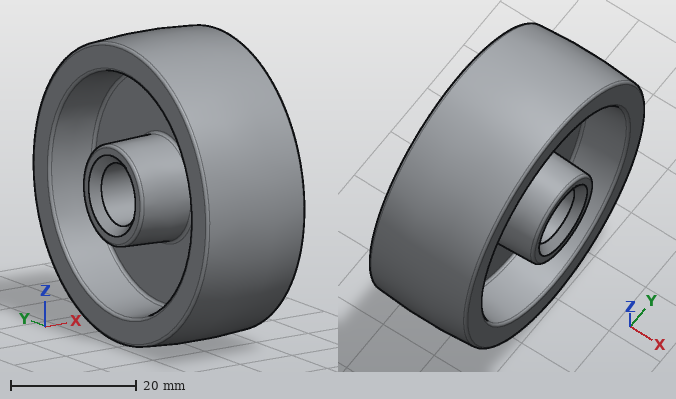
import cadquery as cq

wheel_radius = 25.05
rim_width = 19.05
rim_edge_radius = 24.55
hub_length = 22.0
web_thickness = 2.5
edge_round = 0.5

pocket_mouth_radius = 19.95
pocket_floor_radius = 19.4
hub_end_radius = 8.25
hub_root_radius = 8.65

bore_radius = 5.1
bore_chamfer = 1.45

half_rim = rim_width / 2
half_hub = hub_length / 2
half_web = web_thickness / 2


def revolve_about_x(profile):
    return profile.revolve(360, (0, 0, 0), (1, 0, 0))


def crowned_blank():
    """Solid disc with an arched tread and rounded rim edges."""
    profile = (
        cq.Workplane("XY")
        .moveTo(-half_rim, 0)
        .lineTo(-half_rim, rim_edge_radius)
        .threePointArc((0, wheel_radius), (half_rim, rim_edge_radius))
        .lineTo(half_rim, 0)
        .close()
    )
    return revolve_about_x(profile).edges("<X or >X").fillet(edge_round)


def side_pocket(side):
    """Tapered recess from one rim face down to the web."""
    profile = (
        cq.Workplane("XY")
        .moveTo(side * half_web, 0)
        .lineTo(side * half_web, pocket_floor_radius)
        .lineTo(side * half_rim, pocket_mouth_radius)
        .lineTo(side * half_rim, 0)
        .close()
    )
    return revolve_about_x(profile)


def tapered_hub(side):
    """Half of the hub, narrowing from the web to its end face."""
    profile = (
        cq.Workplane("XY")
        .lineTo(0, hub_root_radius)
        .lineTo(side * half_web, hub_root_radius)
        .lineTo(side * half_hub, hub_end_radius)
        .lineTo(side * half_hub, 0)
        .close()
    )
    return revolve_about_x(profile)


def circle_at(x, radius):
    """Selector for the circular edge crossing the XY plane at (x, radius)."""
    tolerance = 0.05
    return cq.selectors.BoxSelector(
        (x - tolerance, -radius - tolerance, -radius - tolerance),
        (x + tolerance, radius + tolerance, radius + tolerance),
        boundingbox=True,
    ) - cq.selectors.BoxSelector(
        (x - tolerance, -radius + tolerance, -radius + tolerance),
        (x + tolerance, radius - tolerance, radius - tolerance),
        boundingbox=True,
    )


wheel = crowned_blank()
for side in (-1, 1):
    wheel = wheel.cut(side_pocket(side))
for side in (-1, 1):
    wheel = wheel.union(tapered_hub(side))

for side in (-1, 1):
    for x, radius in (
        (half_rim, pocket_mouth_radius),
        (half_web, pocket_floor_radius),
        (half_web, hub_root_radius),
        (half_hub, hub_end_radius),
    ):
        wheel = wheel.edges(circle_at(side * x, radius)).fillet(edge_round)

bore = cq.Workplane("YZ", origin=(-half_hub, 0, 0)).circle(bore_radius).extrude(hub_length)
wheel = wheel.cut(bore)
for side in (-1, 1):
    wheel = wheel.edges(circle_at(side * half_hub, bore_radius)).chamfer(bore_chamfer)

result = wheel